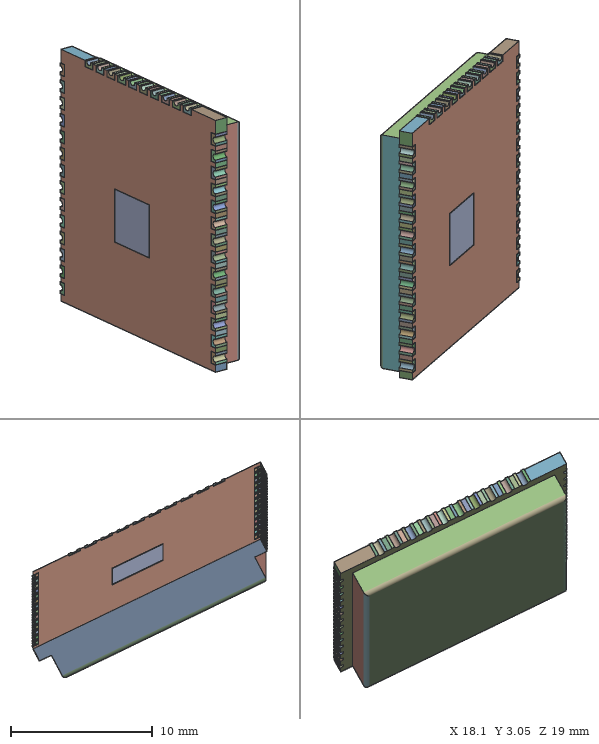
import cadquery as cq

overall_width = 18.07
overall_height = 19.04
overall_depth = 3.05
pad_relief = 0.04

board_width = overall_width - 2 * pad_relief
board_height = overall_height - pad_relief
board_thickness = 1.0
board_back = pad_relief + board_thickness

shield_width = 16.09
shield_height = 18.0
shield_depth = overall_depth - board_back
shield_edge_radius = 0.3

pad_width = 0.9
pad_length = 0.5
castellation_radius = 0.23
side_pad_count = 14
top_pad_count = 10
side_row_span = 16.5
pad_pitch = side_row_span / (side_pad_count - 1)
first_side_pad_drop = 1.52
top_row_center_x = 0.02

ground_pad_size = 4
ground_pad_x = -0.7
ground_pad_z = 8.34


def block(width, depth, height, x, y, z):
    """Box centred on x and z, growing toward +Y from y."""
    return cq.Workplane("XY").box(width, depth, height, centered=(True, False, True)).translate((x, y, z))


def castellation(x, z):
    """Round cutter along Y through the board and its pads, centred on the board edge."""
    cutter = cq.Workplane("XZ").circle(castellation_radius).extrude(-board_back)
    return cutter.translate((x, 0, z))


def make_board():
    return block(board_width, board_thickness, board_height, 0, pad_relief, board_height / 2)


def make_shield():
    shield = block(shield_width, shield_depth, shield_height, 0, board_back, shield_height / 2)
    return shield.faces(">Y").edges().fillet(shield_edge_radius)


def make_side_pad(side, z):
    """Pad wrapping around a side edge of the board; side is -1 for left and 1 for right."""
    edge_x = side * overall_width / 2
    return block(pad_length, board_back, pad_width, edge_x - side * pad_length / 2, 0, z)


def make_top_pad(x):
    """Pad wrapping around the top edge of the board."""
    return block(pad_width, board_back, pad_length, x, 0, overall_height - pad_length / 2)


def make_ground_pad():
    return block(ground_pad_size, pad_relief, ground_pad_size, ground_pad_x, 0, ground_pad_z)


side_pad_heights = [overall_height - first_side_pad_drop - i * pad_pitch for i in range(side_pad_count)]
top_row_start_x = top_row_center_x - (top_pad_count - 1) * pad_pitch / 2
top_pad_positions = [top_row_start_x + i * pad_pitch for i in range(top_pad_count)]

result = make_board().union(make_shield()).union(make_ground_pad())

for side in (-1, 1):
    for z in side_pad_heights:
        result = result.union(make_side_pad(side, z))
        result = result.cut(castellation(side * board_width / 2, z))

for x in top_pad_positions:
    result = result.union(make_top_pad(x))
    result = result.cut(castellation(x, board_height))